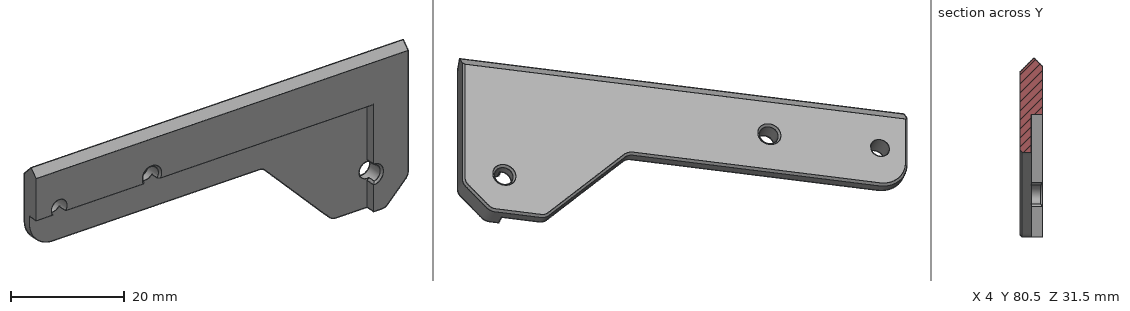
import cadquery as cq
import math

length = 80.5
thickness = 4.0
height = 31.5

arm_height = 16.5
arm_bottom_z = height - arm_height
heel_bottom_length = 10.1
heel_corner = 5.0
nose_radius = 5.0
corner_radius = 2.0

ridge_x = 2.5

edge_bevel = 0.4

hole_radius = 3.4 / 2
hole_bevel = 0.4
mouth_radius = hole_radius + hole_bevel
nose_hole_y = 5.0
arm_hole_y = 25.0
arm_hole_drop = 9.0
heel_hole_y = length - 7.5
heel_hole_drop = 24.0

recess_floor_x = 2.0
recess_depth = thickness - recess_floor_x
recess_top_drop = 10.0
recess_end_y = heel_hole_y


def round_corner(plate, corner, radius):
    """Round the X-direction edge that stands at the given (y, z) corner."""
    middle_of_edge = (thickness / 2, *corner)
    return plate.edges(cq.selectors.NearestToPointSelector(middle_of_edge)).fillet(radius)


def side_plate():
    """Plate with rounded corners, bevelled around its -X face except along the top."""
    heel_start_y = length - heel_corner - heel_bottom_length
    arm_end_y = heel_start_y - arm_bottom_z
    nose = (0, arm_bottom_z)
    heel_corners = [
        (arm_end_y, arm_bottom_z),
        (heel_start_y, 0),
        (length - heel_corner, 0),
        (length, heel_corner),
    ]
    outline = [(0, height), nose, *heel_corners, (length, height)]
    plate = cq.Workplane("YZ").polyline(outline).close().extrude(thickness)
    plate = round_corner(plate, nose, nose_radius)
    for corner in heel_corners:
        plate = round_corner(plate, corner, corner_radius)
    return plate.faces("<X").edges("not(>Z)").chamfer(edge_bevel)


def flank_cutter(face_x):
    """Wedge of material above the flank between the ridge and the face at face_x."""
    drop = abs(face_x - ridge_x)
    wedge = [(face_x, height - drop), (ridge_x, height), (face_x, height)]
    return cq.Workplane("XZ").polyline(wedge).close().extrude(-length)


def recess():
    """Block that thins the plate below the thick top rail."""
    return (
        cq.Workplane("XY", origin=(recess_floor_x, 0, 0))
        .box(recess_depth, recess_end_y, height - recess_top_drop, centered=False)
    )


def half_hole_lead_in():
    """Bevel where the heel hole opens through the end wall of the recess."""
    throat = math.sqrt(hole_radius ** 2 - hole_bevel ** 2)
    return (
        cq.Workplane("YZ", origin=(recess_floor_x, recess_end_y, height - heel_hole_drop))
        .polyline([
            (0, -mouth_radius),
            (hole_bevel, -throat),
            (hole_bevel, throat),
            (0, mouth_radius),
        ])
        .close()
        .extrude(recess_depth)
    )


def through_hole(y, drop):
    """Plain hole along X."""
    return cq.Workplane("YZ", origin=(0, y, height - drop)).circle(hole_radius).extrude(thickness)


def bevelled_hole(y, drop):
    """Hole along X with a conical bevel at both faces of the plate."""
    z = height - drop
    along_x = cq.Vector(1, 0, 0)
    near_mouth = cq.Vector(0, y, z)
    far_throat = cq.Vector(thickness - hole_bevel, y, z)
    near_cone = cq.Solid.makeCone(mouth_radius, hole_radius, hole_bevel, near_mouth, along_x)
    far_cone = cq.Solid.makeCone(hole_radius, mouth_radius, hole_bevel, far_throat, along_x)
    return through_hole(y, drop).union(near_cone).union(far_cone)


plate = side_plate()
for face_x in (0, thickness):
    plate = plate.cut(flank_cutter(face_x))
plate = plate.cut(recess())
plate = plate.cut(half_hole_lead_in())
plate = plate.cut(through_hole(nose_hole_y, arm_hole_drop))
plate = plate.cut(bevelled_hole(arm_hole_y, arm_hole_drop))
plate = plate.cut(bevelled_hole(heel_hole_y, heel_hole_drop))

result = plate